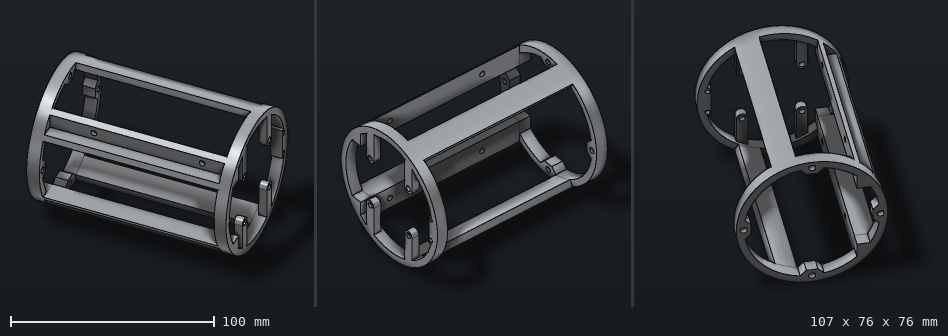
import cadquery as cq
import math

length = 107.0
outer_radius = 76.0 / 2
inner_radius = 34.0
middle_radius = (inner_radius + outer_radius) / 2
stock_radius = outer_radius + 3.2
left_ring_width = 7.0
right_ring_width = 6.4
right_ring_start = length - right_ring_width
bar_span = right_ring_start - left_ring_width

curved_bar_start_angle = 10.4
curved_bar_end_angle = 30.5

corner_inner_y = -22.4
corner_inner_z = 17.8
corner_wall = 2.9
notch_y = corner_inner_y - corner_wall
notch_z = corner_inner_z + corner_wall
corner_hole_diameter = 3.0
corner_hole_z = 24.5
corner_hole_positions = (30.6, 88.6)

boss_count = 4
boss_inner_radius = 30.5
boss_tip_half_width = 2.9
boss_hole_diameter = 3.3
boss_hole_radius = 34.2

leg_width = 5.8
leg_thickness = 4.5
leg_offset = 15.0
leg_hole_diameter = 3.0

pad_inner_y = 30.9
pad_half_height = 8.8
pad_hole_diameter = 2.5
pad_hole_y = 32.6
pad_hole_z = 6.5


def section(x):
    """Sketch plane normal to X, with local axes Y and Z."""
    return cq.Workplane("YZ", origin=(x, 0, 0))


def cylinder(x, width, radius):
    return section(x).circle(radius).extrude(width)


def box(x_range, y_range, z_range):
    sizes = [end - start for start, end in (x_range, y_range, z_range)]
    corner = (x_range[0], y_range[0], z_range[0])
    return cq.Workplane("XY").box(*sizes, centered=False).translate(corner)


def polar(radius, angle):
    """Point at an angle measured from Z towards +Y."""
    turn = math.radians(angle)
    return radius * math.sin(turn), radius * math.cos(turn)


def curved_bar():
    start, end = curved_bar_start_angle, curved_bar_end_angle
    middle = (start + end) / 2
    return (
        section(left_ring_width)
        .moveTo(*polar(stock_radius, start))
        .threePointArc(polar(stock_radius, middle), polar(stock_radius, end))
        .lineTo(*polar(inner_radius, end))
        .threePointArc(polar(inner_radius, middle), polar(inner_radius, start))
        .close()
        .extrude(bar_span)
    )


def corner_bar():
    bar = box((0, length), (-stock_radius, corner_inner_y), (corner_inner_z, stock_radius))
    notch = box(
        (left_ring_width, right_ring_start), (-stock_radius, notch_y), (notch_z, stock_radius)
    )
    holes = (
        cq.Workplane("XZ", origin=(0, corner_inner_y, 0))
        .pushPoints([(x, corner_hole_z) for x in corner_hole_positions])
        .circle(corner_hole_diameter / 2)
        .extrude(corner_wall)
    )
    return bar.cut(notch).cut(holes)


def boss():
    """Boss at the top of the left ring, its tip concentric with the ring."""
    tip_z = math.sqrt(boss_inner_radius**2 - boss_tip_half_width**2)
    root_half_width = boss_tip_half_width + middle_radius - tip_z
    return (
        section(0)
        .moveTo(-boss_tip_half_width, tip_z)
        .threePointArc((0, boss_inner_radius), (boss_tip_half_width, tip_z))
        .lineTo(root_half_width, middle_radius)
        .lineTo(-root_half_width, middle_radius)
        .close()
        .extrude(left_ring_width)
    )


def leg(y):
    """Leg hanging from the top of the right ring, with a rounded drilled end."""
    start = length - leg_thickness
    half_width = leg_width / 2
    shank = box((start, length), (y - half_width, y + half_width), (leg_offset, outer_radius))
    tip = section(start).center(y, leg_offset).circle(half_width).extrude(leg_thickness)
    hole = section(start).center(y, leg_offset).circle(leg_hole_diameter / 2).extrude(leg_thickness)
    return shank.union(tip).cut(hole)


def pad():
    return box(
        (right_ring_start, length), (pad_inner_y, outer_radius), (-pad_half_height, pad_half_height)
    )


def with_mirror(feature):
    """The feature and its twin across the horizontal mid-plane."""
    return feature, feature.mirror("XY")


def opening(x, width, radius, kept_features):
    """Material to remove from a stretch of the cylinder, sparing the kept features."""
    cutter = cylinder(x, width, radius)
    for feature in kept_features:
        cutter = cutter.cut(feature)
    return cutter


corner_bars = with_mirror(corner_bar())
curved_bars = with_mirror(curved_bar())
legs = with_mirror(leg(leg_offset)) + with_mirror(leg(-leg_offset))
bosses = tuple(
    boss().rotate((0, 0, 0), (1, 0, 0), index * 360 / boss_count) for index in range(boss_count)
)

left_bore = opening(0, left_ring_width, inner_radius, corner_bars + bosses)
windows = opening(left_ring_width, bar_span, stock_radius, corner_bars + curved_bars)
right_bore = opening(
    right_ring_start, right_ring_width, inner_radius, corner_bars + legs + (pad(),)
)

boss_holes = (
    section(0)
    .polarArray(boss_hole_radius, 0, 360, boss_count)
    .circle(boss_hole_diameter / 2)
    .extrude(left_ring_width)
)
pad_holes = (
    section(right_ring_start)
    .pushPoints([(pad_hole_y, -pad_hole_z), (pad_hole_y, pad_hole_z)])
    .circle(pad_hole_diameter / 2)
    .extrude(right_ring_width)
)

result = cylinder(0, length, outer_radius)
for cutter in (left_bore, windows, right_bore, boss_holes, pad_holes):
    result = result.cut(cutter, clean=False)